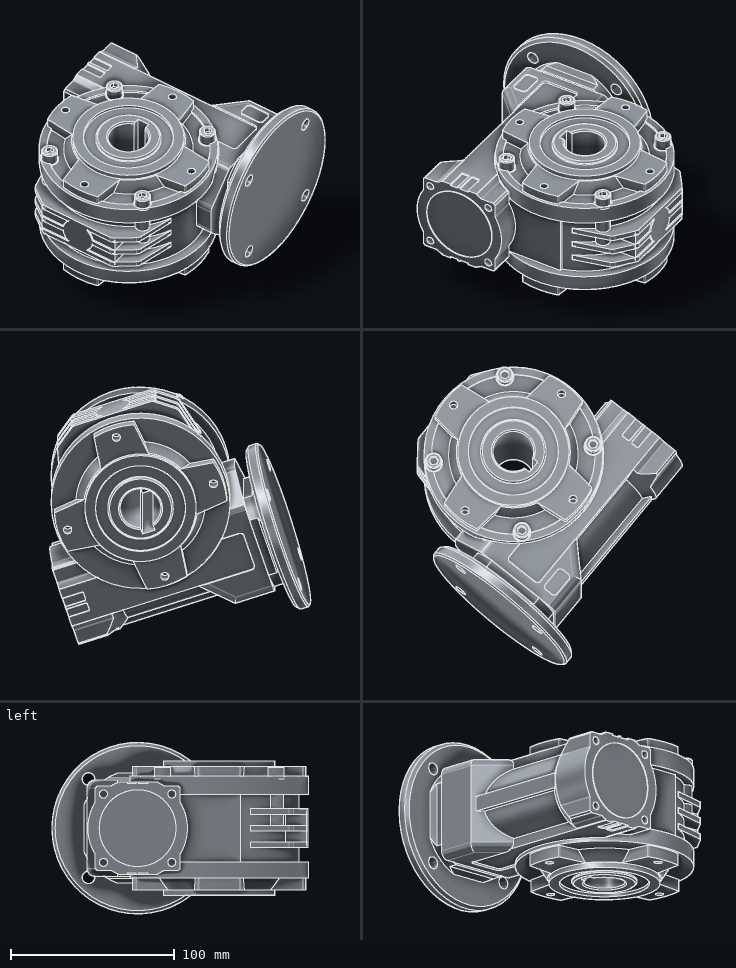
import cadquery as cq
import math


WORM_Y = 50.0
LEFT_X = -65.0
BLOCK_X = 59.7
FLANGE_X = 76.0

DRUM_R = 48.8
RIM_R = 54.6
DRUM_HALF = 20.5
TOP_RIM_Z = 31.9
BOTTOM_RIM_Z = -30.5
RIM_GAP = 0.6
RIM_GAP_Z = 25.1
FLOOR_Z = 30.6
FLOOR_R = 50.0
SIDE_FLAT_Y = -12.9

FACE_Z = 41.1
ARM_Z = 37.8
DISC_R = 68.0 / 2
CONE_BASE_R = 39.5
CONE_TOP_R = 34.9
SEAL_R = 55.0 / 2
SEAL_DEPTH = 2.0
ARM_TIP_R = 52.9
ARM_ROOT_R = 28.3
ARM_TIP_HALF = 12.5
ARM_ROOT_HALF = 15.7
ARM_CORNER_R = 0.8
ARM_HOLE_D = 4.9
ARM_HOLE_R = 47.0
ARM_HOLE_DEPTH = 9.5

HUB_D = 40.0
HUB_CHAMFER = 1.1
BORE_D = 25.0
BORE_CHAMFER = 1.0
KEY_WIDTH = 8.0
KEY_TOP = 15.9

SCREW_R = 49.0
HEAD_D = 9.7
HEAD_CHAMFER = 0.6
SPOT_FACE_D = 11.0
SPOT_FACE_Z = 30.1
SOCKET_D = 5.7
SOCKET_DEPTH = 3.1
SCREW_BOSS_D = 9.1

END_R = 30.5
END_HALF_Z = 28.3
LOBE_HALF = 25.9
LOBE_CHAMFER = 1.3
LOBE_ROOT_R = 1.0
EDGE_TOLERANCE = 0.2
TAPER_END_X = -32.7
TAPER_SLOPE = 0.75
BARREL_R = 25.5
BRIDGE_HALF_Y = 12.4
RIB_Y = 78.7
RIB_HALF_Z = 4.7
CAP_D = 47.0
CAP_DEPTH = 0.5
END_HOLE_D = 4.9
END_HOLE_OFFSET = 20.9
END_HOLE_DEPTH = 9.5
POCKET_DEPTH = 1.0
POCKET_END_X = -51.5
POCKET_SPANS = ((43.7, 49.3), (51.0, 56.2))
POCKET_CORNER_R = 0.8

BLOCK_TOP_Y = 80.9
BLOCK_HALF_Z = 29.5
BLOCK_BOTTOM_Y = 2.7
BLOCK_BOTTOM_HALF_Z = 9.7
BLOCK_INNER_X = 15.7
BLOCK_CORNER_X = 34.0
BLOCK_EDGE_R = 5.0
PANEL_END_X = 53.2
PANEL_BOTTOM_Y = 37.8
PANEL_CORNER_R = 2.4
LABEL_X = 44.9
LABEL_Y = 70.7
LABEL_LENGTH = 16.2
LABEL_WIDTH = 9.1
LABEL_DEPTH = 0.5

FIN_PITCH = 10.2
FIN_THICKNESS = 3.5
FIN_FRONT_Y = -54.3
FIN_FRONT_HALF = 25.6
FIN_SIDE_Y = -44.3
FIN_SIDE_HALF = 39.0
FIN_BACK_Y = -19.2
FIN_BACK_HALF = 45.2
FIN_CORNER_R = 4.7
FIN_ROOT_HALF = 31.4
WEB_HALF = 27.2
WEB_FRONT_Y = -53.4
BADGE_D = 21.8

PLATE_D = 104.9
PLATE_THICKNESS = 8.0
PLATE_CHAMFER = 2.0
PLATE_OUTER_CHAMFER = 1.1
NECK_D = 71.6
NECK_FLAT_Z = 30.6
NECK_FLAT_Y = 29.8
NECK_FLAT_LENGTH = 5.3
BOLT_CIRCLE_D = 85.0
BOLT_HOLE_D = 7.5

QUARTER_TURNS = (0, 90, 180, 270)


def disc(radius, z_low, z_high):
    """Cylinder about the output axis."""
    return cq.Workplane("XY").workplane(offset=z_low).circle(radius).extrude(z_high - z_low)


def box_between(x, y, z):
    """Box from three (low, high) pairs."""
    size = (x[1] - x[0], y[1] - y[0], z[1] - z[0])
    return cq.Workplane("XY").box(*size, centered=False).translate((x[0], y[0], z[0]))


def on_worm_axis(x):
    """YZ workplane at x, centred on the worm axis and facing +X."""
    return cq.Workplane("YZ", origin=(x, WORM_Y, 0))


def screw_points(plane):
    return plane.polarArray(SCREW_R, 45, 360, 4)


def make_drum():
    drum = disc(DRUM_R, -DRUM_HALF, DRUM_HALF)
    drum = drum.union(box_between((-DRUM_R, 0), (SIDE_FLAT_Y, WORM_Y / 2), (-DRUM_HALF, DRUM_HALF)))
    bosses = screw_points(cq.Workplane("XY")).circle(SCREW_BOSS_D / 2).extrude(DRUM_HALF)
    return drum.union(bosses)


def make_rims():
    top = disc(RIM_R, DRUM_HALF, TOP_RIM_Z).cut(disc(FLOOR_R, FLOOR_Z, TOP_RIM_Z))
    spot_faces = cq.Workplane("XY").workplane(offset=SPOT_FACE_Z)
    top = top.cut(screw_points(spot_faces).circle(SPOT_FACE_D / 2).extrude(TOP_RIM_Z - SPOT_FACE_Z))
    return top.union(disc(RIM_R, BOTTOM_RIM_Z, -DRUM_HALF))


def make_arm(angle, base_z):
    outline = [
        (ARM_ROOT_R, -ARM_ROOT_HALF),
        (ARM_TIP_R + 1.5, -ARM_TIP_HALF),
        (ARM_TIP_R + 1.5, ARM_TIP_HALF),
        (ARM_ROOT_R, ARM_ROOT_HALF),
    ]
    arm = cq.Workplane("XY").workplane(offset=base_z).polyline(outline).close().extrude(ARM_Z - base_z)
    arm = arm.intersect(disc(ARM_TIP_R, base_z, ARM_Z))
    tip_corners = cq.selectors.BoxSelector((ARM_TIP_R - 3.1, -RIM_R, 0), (ARM_TIP_R, RIM_R, FACE_Z))
    arm = arm.edges("|Z").edges(tip_corners).fillet(ARM_CORNER_R)
    return arm.rotate((0, 0, 0), (0, 0, 1), angle)


def make_output_face(base_z):
    """Seal disc on a cone with four mounting arms, rising from base_z along +Z."""
    face = disc(DISC_R, ARM_Z, FACE_Z)
    cone = (
        cq.Workplane("XZ")
        .polyline([(0, base_z), (CONE_BASE_R, base_z), (CONE_TOP_R, ARM_Z), (0, ARM_Z)])
        .close()
        .revolve(360, (0, 0, 0), (0, 1, 0))
    )
    face = face.union(cone)
    for angle in QUARTER_TURNS:
        face = face.union(make_arm(angle, base_z))
    return face


def cut_output_face_holes(body):
    seat = disc(SEAL_R, FACE_Z - SEAL_DEPTH, FACE_Z)
    holes = (
        cq.Workplane("XY")
        .workplane(offset=ARM_Z - ARM_HOLE_DEPTH)
        .polarArray(ARM_HOLE_R, 0, 360, 4)
        .circle(ARM_HOLE_D / 2)
        .extrude(ARM_HOLE_DEPTH)
    )
    cutter = seat.union(holes)
    return body.cut(cutter).cut(cutter.mirror("XY"))


def make_screw_heads():
    heads = screw_points(cq.Workplane("XY").workplane(offset=SPOT_FACE_Z)).circle(HEAD_D / 2)
    heads = heads.extrude(ARM_Z - SPOT_FACE_Z).faces(">Z").edges().chamfer(HEAD_CHAMFER)
    sockets = screw_points(cq.Workplane("XY").workplane(offset=ARM_Z - SOCKET_DEPTH))
    return heads.cut(sockets.polygon(6, SOCKET_D).extrude(SOCKET_DEPTH))


def is_lobe_root(edge):
    """True for an edge where a lobe's side meets the round end."""
    point = edge.Center()
    across = abs(point.y - WORM_Y)
    on_round = abs(math.hypot(across, point.z) - END_R) < EDGE_TOLERANCE
    return on_round and abs(max(across, abs(point.z)) - LOBE_HALF) < EDGE_TOLERANCE


def make_worm_end():
    """Round end with four corner lobes, trimmed by a taper towards the barrel."""
    length = TAPER_END_X - LEFT_X
    end = on_worm_axis(LEFT_X).circle(END_R).extrude(length)
    end = end.intersect(on_worm_axis(LEFT_X).rect(4 * END_R, 2 * END_HALF_Z).extrude(length))
    lobes = on_worm_axis(LEFT_X).rect(2 * LOBE_HALF, 2 * LOBE_HALF).extrude(length)
    end = end.union(lobes.edges("|X").chamfer(LOBE_CHAMFER))
    end = end.edges("|X").filter(is_lobe_root).fillet(LOBE_ROOT_R)
    wide_r = BARREL_R + TAPER_SLOPE * length
    taper = (
        cq.Workplane("XY")
        .polyline([
            (LEFT_X, WORM_Y),
            (LEFT_X, WORM_Y + wide_r),
            (TAPER_END_X, WORM_Y + BARREL_R),
            (TAPER_END_X, WORM_Y),
        ])
        .close()
        .revolve(360, (0, WORM_Y, 0), (1, WORM_Y, 0))
    )
    return end.intersect(taper)


def make_barrel():
    barrel = on_worm_axis(TAPER_END_X).circle(BARREL_R).extrude(BLOCK_X - TAPER_END_X)
    bridge_y = (WORM_Y - BRIDGE_HALF_Y, WORM_Y + BRIDGE_HALF_Y)
    bridge = box_between((LEFT_X, BLOCK_X), bridge_y, (-END_HALF_Z, END_HALF_Z))
    rib_start_x = TAPER_END_X - (RIB_Y - WORM_Y - BARREL_R) / TAPER_SLOPE
    rib = box_between((rib_start_x, BLOCK_X), (WORM_Y, RIB_Y), (-RIB_HALF_Z, RIB_HALF_Z))
    return barrel.union(bridge).union(rib)


def make_input_block():
    slope_rise = BLOCK_HALF_Z - BLOCK_BOTTOM_HALF_Z
    slope_top_y = BLOCK_BOTTOM_Y + slope_rise
    section = [
        (BLOCK_TOP_Y, -BLOCK_HALF_Z),
        (BLOCK_TOP_Y, BLOCK_HALF_Z),
        (slope_top_y, BLOCK_HALF_Z),
        (BLOCK_BOTTOM_Y, BLOCK_BOTTOM_HALF_Z),
        (BLOCK_BOTTOM_Y, -BLOCK_BOTTOM_HALF_Z),
        (slope_top_y, -BLOCK_HALF_Z),
    ]
    block = cq.Workplane("YZ", origin=(BLOCK_INNER_X, 0, 0)).polyline(section).close()
    block = block.extrude(BLOCK_X - BLOCK_INNER_X)
    diagonal = BLOCK_CORNER_X - BLOCK_INNER_X
    corner = (
        cq.Workplane("XY")
        .workplane(offset=-BLOCK_HALF_Z)
        .polyline([
            (BLOCK_INNER_X, BLOCK_TOP_Y - diagonal),
            (BLOCK_INNER_X, BLOCK_TOP_Y),
            (BLOCK_CORNER_X, BLOCK_TOP_Y),
        ])
        .close()
        .extrude(2 * BLOCK_HALF_Z)
    )
    block = block.cut(corner)
    rounded = block.edges("|X").add(block.edges(cq.selectors.ParallelDirSelector(cq.Vector(1, 1, 0))))
    return rounded.fillet(BLOCK_EDGE_R)


def cut_block_panels(body):
    """Recess that continues the bridge's flat into the block, and the label panel."""
    panel_y = (PANEL_BOTTOM_Y, WORM_Y + BRIDGE_HALF_Y)
    panel = box_between((BLOCK_INNER_X, PANEL_END_X), panel_y, (END_HALF_Z, BLOCK_HALF_Z))
    panel = panel.edges("|Z and >X").fillet(PANEL_CORNER_R)
    label = cq.Workplane("XY", origin=(LABEL_X, LABEL_Y, BLOCK_HALF_Z - LABEL_DEPTH))
    label = label.rect(LABEL_LENGTH, LABEL_WIDTH).extrude(LABEL_DEPTH).edges("|Z").fillet(PANEL_CORNER_R)
    return body.cut(panel).cut(panel.mirror("XY")).cut(label)


def cut_worm_end_details(body):
    cap_recess = on_worm_axis(LEFT_X).circle(CAP_D / 2).extrude(CAP_DEPTH)
    holes = on_worm_axis(LEFT_X).rect(2 * END_HOLE_OFFSET, 2 * END_HOLE_OFFSET, forConstruction=True)
    holes = holes.vertices().circle(END_HOLE_D / 2).extrude(END_HOLE_DEPTH)
    body = body.cut(cap_recess).cut(holes)
    for span in POCKET_SPANS:
        pocket = box_between((LEFT_X, POCKET_END_X), span, (END_HALF_Z - POCKET_DEPTH, END_HALF_Z))
        pocket = pocket.edges("|Z and >X").fillet(POCKET_CORNER_R)
        body = body.cut(pocket).cut(pocket.mirror("XY"))
    return body


def cut_rim_gap(body):
    """Narrow clearance around the top rim where it dips into the worm housing."""
    ring = disc(RIM_R + RIM_GAP, RIM_GAP_Z, TOP_RIM_Z).cut(disc(RIM_R, RIM_GAP_Z, TOP_RIM_Z))
    return body.cut(ring)


def make_fin(z):
    outline = [
        (-FIN_ROOT_HALF, FIN_BACK_Y),
        (-FIN_BACK_HALF, FIN_BACK_Y),
        (-FIN_SIDE_HALF, FIN_SIDE_Y),
        (-FIN_FRONT_HALF, FIN_FRONT_Y),
        (FIN_FRONT_HALF, FIN_FRONT_Y),
        (FIN_SIDE_HALF, FIN_SIDE_Y),
        (FIN_BACK_HALF, FIN_BACK_Y),
        (FIN_ROOT_HALF, FIN_BACK_Y),
    ]
    fin = cq.Workplane("XY").workplane(offset=z - FIN_THICKNESS / 2).polyline(outline).close()
    fin = fin.extrude(FIN_THICKNESS)
    rounded = cq.selectors.BoxSelector((-DRUM_R, -RIM_R, -RIM_R), (DRUM_R, FIN_SIDE_Y + 1.5, RIM_R))
    return fin.edges("|Z").edges(rounded).fillet(FIN_CORNER_R)


def make_fins():
    fins = make_fin(0)
    for z in (-FIN_PITCH, FIN_PITCH):
        fins = fins.union(make_fin(z))
    web = box_between((-WEB_HALF, WEB_HALF), (WEB_FRONT_Y, FIN_BACK_Y), (-FIN_PITCH, FIN_PITCH))
    badge = cq.Workplane("XZ").workplane(offset=-FIN_BACK_Y).circle(BADGE_D / 2)
    badge = badge.extrude(FIN_BACK_Y - FIN_FRONT_Y)
    return fins.union(web).union(badge)


def make_housing():
    worm_side = make_barrel().union(make_input_block()).union(make_worm_end())
    worm_side = cut_rim_gap(cut_worm_end_details(cut_block_panels(worm_side)))
    body = worm_side.union(make_drum()).union(make_fins()).union(make_rims())
    body = body.union(make_output_face(FLOOR_Z))
    body = body.union(make_output_face(-BOTTOM_RIM_Z).mirror("XY"))
    body = cut_output_face_holes(body).union(make_screw_heads())
    return body.cut(disc(HUB_D / 2, -FACE_Z, FACE_Z))


def make_hub():
    hub = disc(HUB_D / 2, -FACE_Z, FACE_Z).faces("<Z or >Z").edges().chamfer(HUB_CHAMFER)
    hub = hub.cut(disc(BORE_D / 2, -FACE_Z, FACE_Z))
    hub = hub.faces("<Z or >Z").edges(cq.selectors.RadiusNthSelector(0)).chamfer(BORE_CHAMFER)
    return hub.cut(box_between((-KEY_WIDTH / 2, KEY_WIDTH / 2), (0, KEY_TOP), (-FACE_Z, FACE_Z)))


def make_neck_relief(flat):
    """Material above a flat that slopes out at 45 degrees to the plate."""
    plate_x = FLANGE_X - PLATE_THICKNESS
    slope_x = BLOCK_X + NECK_FLAT_LENGTH
    outline = [
        (BLOCK_X, flat),
        (slope_x, flat),
        (plate_x, flat + plate_x - slope_x),
        (plate_x, NECK_D / 2),
        (BLOCK_X, NECK_D / 2),
    ]
    return cq.Workplane("XZ", origin=(0, WORM_Y, 0)).polyline(outline).close().extrude(NECK_D / 2, both=True)


def make_neck():
    """Round neck with a flat on each of its four sides."""
    neck = on_worm_axis(BLOCK_X).circle(NECK_D / 2).extrude(FLANGE_X - PLATE_THICKNESS - BLOCK_X)
    for angle, flat in zip(QUARTER_TURNS, (NECK_FLAT_Z, NECK_FLAT_Y) * 2):
        neck = neck.cut(make_neck_relief(flat).rotate((0, WORM_Y, 0), (1, WORM_Y, 0), angle))
    return neck


def make_input_flange():
    plate_x = FLANGE_X - PLATE_THICKNESS
    plate = on_worm_axis(plate_x).circle(PLATE_D / 2).extrude(PLATE_THICKNESS)
    plate = plate.faces("<X").edges().chamfer(PLATE_CHAMFER)
    plate = plate.faces(">X").edges().chamfer(PLATE_OUTER_CHAMFER)
    holes = on_worm_axis(plate_x).polarArray(BOLT_CIRCLE_D / 2, 45, 360, 4)
    plate = plate.cut(holes.circle(BOLT_HOLE_D / 2).extrude(PLATE_THICKNESS))
    return plate.union(make_neck())


housing = make_housing()
hub = make_hub()
input_flange = make_input_flange()
result = cq.Compound.makeCompound([housing.val(), hub.val(), input_flange.val()])